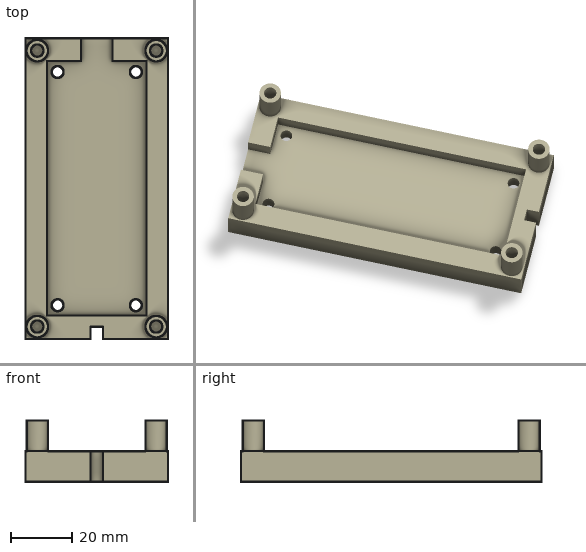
import cadquery as cq

base_width = 46.5
base_length = 97.9
base_height = 10.0

pocket_depth = 5.0
side_wall = 7.1
front_wall = 7.6
back_wall = 7.4
pocket_floor = base_height - pocket_depth
pocket_width = base_width - 2 * side_wall
pocket_length = base_length - front_wall - back_wall
pocket_center_y = (front_wall - back_wall) / 2

channel_width = 10.2

notch_size = 4.0

standoff_height = 10.0
standoff_diameter = 7.0
standoff_bore = 4.0
standoff_spacing_x = 38.7
standoff_spacing_y = 89.8

floor_hole_diameter = 3.8
floor_hole_spacing_x = 25.5
floor_hole_spacing_y = 75.9


def box_from_floor(width, length, height, center_y, bottom):
    """Box centred on X, with its middle at center_y and its underside at bottom."""
    return (
        cq.Workplane("XY", origin=(0, center_y, bottom))
        .box(width, length, height, centered=(True, True, False))
    )


def four_cylinders(diameter, height, spacing_x, spacing_y, bottom):
    """Four upright cylinders at the corners of a centred rectangle."""
    return (
        cq.Workplane("XY", origin=(0, 0, bottom))
        .rect(spacing_x, spacing_y, forConstruction=True)
        .vertices()
        .circle(diameter / 2)
        .extrude(height)
    )


base = box_from_floor(base_width, base_length, base_height, 0, 0)

pocket = box_from_floor(pocket_width, pocket_length, pocket_depth, pocket_center_y, pocket_floor)

channel_center_y = base_length / 2 - back_wall / 2
channel = box_from_floor(channel_width, back_wall, pocket_depth, channel_center_y, pocket_floor)

notch_center_y = -base_length / 2 + notch_size / 2
notch = box_from_floor(notch_size, notch_size, base_height, notch_center_y, 0)

floor_holes = four_cylinders(
    floor_hole_diameter, pocket_floor, floor_hole_spacing_x, floor_hole_spacing_y, 0
)

standoffs = four_cylinders(
    standoff_diameter, standoff_height, standoff_spacing_x, standoff_spacing_y, base_height
)

standoff_bores = four_cylinders(
    standoff_bore, standoff_height, standoff_spacing_x, standoff_spacing_y, base_height
)

result = (
    base.cut(pocket)
    .cut(channel)
    .cut(notch)
    .cut(floor_holes)
    .union(standoffs)
    .cut(standoff_bores)
)